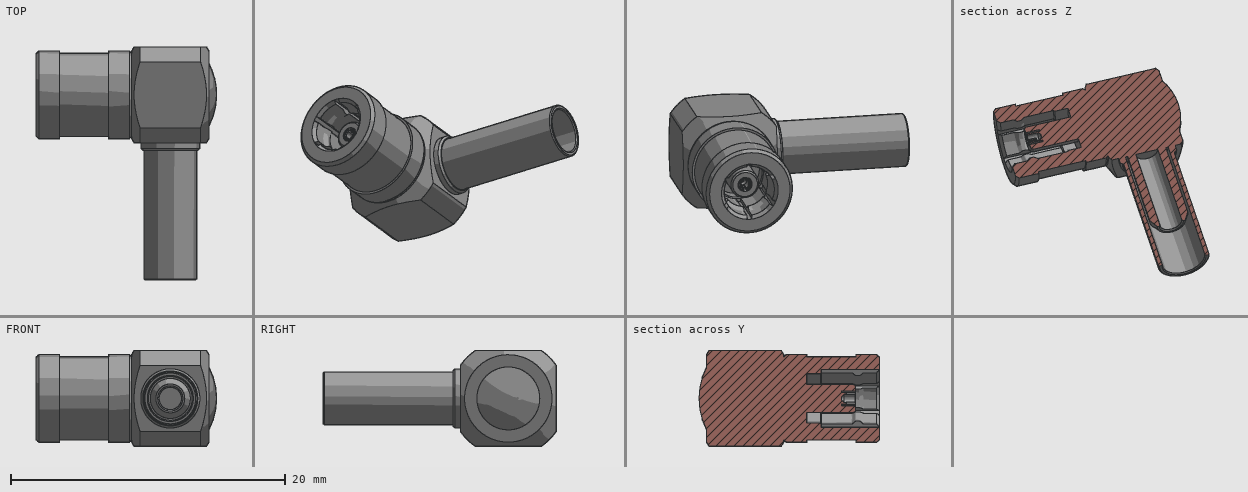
import cadquery as cq
import math


total_length = 13.2
total_reach = 17.0
body_size = 7.0
half_body = body_size / 2

body_start = 6.99
body_end = 12.63
body_length = body_end - body_start
body_center_x = (body_start + body_end) / 2
body_corner_radius = 4.25
end_cone_length = 0.61
end_cone_angle = 30
end_cone_radius = body_corner_radius - end_cone_length / math.tan(math.radians(end_cone_angle))

dome_radius = 2.3
dome_height = total_length - body_end

band_radius = 3.21
waist_radius = 3.05
front_band_end = 1.73
rear_band_start = 5.3
shell_front_chamfer = 0.22
shell_rear_chamfer = 0.17

socket_radius = 2.1
socket_depth = rear_band_start
finger_bore_radius = 1.87
finger_lead_in = socket_radius - finger_bore_radius
ridge_radius = 1.67
ridge_start = 1.19
ridge_end = 2.0
ridge_bevel = 0.25
ridge_fillet = 0.08
finger_slot_count = 6
finger_slot_width = 0.35
finger_slot_length = 4.25
rear_bore_radius = 1.78

insulator_radius = 1.04
insulator_chamfer = 0.12
insulator_front = 1.75
contact_clearance_radius = 0.53
contact_clearance_depth = 1.02
contact_radius = 0.45
contact_hole_radius = 0.29
contact_hole_depth = 0.85
contact_hole_chamfer = 0.07
contact_slot_width = 0.19
contact_slot_depth = 0.68

collar_radius = 2.16
collar_length = 0.55
collar_chamfer = 0.15
tube_radius = 1.94
tube_bore_radius = 1.6
tube_edge_chamfer = 0.08
tube_end = total_reach - half_body

ferrule_radius = 1.46
ferrule_shoulder_radius = 1.41
ferrule_tip_radius = 1.05
ferrule_bore_radius = 0.82
ferrule_bore_chamfer = 0.1
ferrule_taper = 0.61
ferrule_recess = 3.4
ferrule_end = tube_end - ferrule_recess


def turned_x(points):
    """Revolve an (x, radius) outline around the X axis."""
    return cq.Workplane("XY").polyline(points).close().revolve(360, (0, 0), (1, 0))


def turned_tube(points):
    """Revolve a (radius, distance) outline around the crimp tube axis."""
    outline = [(body_center_x + radius, -distance) for radius, distance in points]
    axis_start = (body_center_x, 0)
    axis_end = (body_center_x, -1)
    return cq.Workplane("XY").polyline(outline).close().revolve(360, axis_start, axis_end)


def make_body():
    bar = cq.Workplane("XY").box(body_length, body_size, body_size).translate((body_center_x, 0, 0))
    envelope = turned_x([
        (body_start, 0),
        (body_start, end_cone_radius),
        (body_start + end_cone_length, body_corner_radius),
        (body_end - end_cone_length, body_corner_radius),
        (body_end, end_cone_radius),
        (body_end, 0),
    ])
    return bar.intersect(envelope)


def make_dome():
    sphere_radius = (dome_radius**2 + dome_height**2) / (2 * dome_height)
    sphere_center_x = total_length - sphere_radius
    mid_angle = math.asin(dome_radius / sphere_radius) / 2
    arc_middle = (
        sphere_center_x + sphere_radius * math.cos(mid_angle),
        sphere_radius * math.sin(mid_angle),
    )
    return (
        cq.Workplane("XY")
        .moveTo(body_center_x, 0)
        .lineTo(body_center_x, dome_radius)
        .lineTo(body_end, dome_radius)
        .threePointArc(arc_middle, (total_length, 0))
        .close()
        .revolve(360, (0, 0), (1, 0))
    )


def make_shell():
    return turned_x([
        (0, 0),
        (0, band_radius - shell_front_chamfer),
        (shell_front_chamfer, band_radius),
        (front_band_end, band_radius),
        (front_band_end, waist_radius),
        (rear_band_start, waist_radius),
        (rear_band_start, band_radius),
        (body_start - shell_rear_chamfer, band_radius),
        (body_start, band_radius - shell_rear_chamfer),
        (body_start, 0),
    ])


def make_socket_cut():
    rear_bore_step = finger_bore_radius - rear_bore_radius
    bore = turned_x([
        (0, 0),
        (0, socket_radius),
        (finger_lead_in, finger_bore_radius),
        (ridge_start, finger_bore_radius),
        (ridge_start + ridge_bevel, ridge_radius),
        (ridge_end - ridge_bevel, ridge_radius),
        (ridge_end, finger_bore_radius),
        (finger_slot_length, finger_bore_radius),
        (finger_slot_length + rear_bore_step, rear_bore_radius),
        (socket_depth, rear_bore_radius),
        (socket_depth, 0),
    ])
    margin = ridge_fillet
    zone_start = (ridge_start - margin, -margin, -margin)
    zone_end = (ridge_end + margin, margin, margin)
    ridge_zone = cq.selectors.BoxSelector(zone_start, zone_end)
    bore = bore.edges(ridge_zone).fillet(ridge_fillet)
    slots = cq.Workplane("XY")
    for index in range(finger_slot_count // 2):
        slot = cq.Workplane("XY").box(finger_slot_length, finger_slot_width, 2 * socket_radius)
        slot = slot.translate((finger_slot_length / 2, 0, 0))
        slots = slots.add(slot.rotate((0, 0, 0), (1, 0, 0), index * 360 / finger_slot_count))
    slot_envelope = cq.Workplane("YZ").circle(socket_radius).extrude(finger_slot_length)
    return bore.union(slots.combine().intersect(slot_envelope))


def make_insulator():
    clearance_end = insulator_front + contact_clearance_depth
    return turned_x([
        (insulator_front, contact_clearance_radius),
        (insulator_front, insulator_radius - insulator_chamfer),
        (insulator_front + insulator_chamfer, insulator_radius),
        (body_start, insulator_radius),
        (body_start, 0),
        (clearance_end, 0),
        (clearance_end, contact_clearance_radius),
    ])


def make_contact():
    hole_end = insulator_front + contact_hole_depth
    pin = turned_x([
        (insulator_front, contact_hole_radius + contact_hole_chamfer),
        (insulator_front, contact_radius),
        (body_start, contact_radius),
        (body_start, 0),
        (hole_end + contact_hole_radius, 0),
        (hole_end, contact_hole_radius),
        (insulator_front + contact_hole_chamfer, contact_hole_radius),
    ])
    slot = (
        cq.Workplane("XY")
        .box(contact_slot_depth, contact_slot_width, 2 * contact_radius)
        .translate((insulator_front + contact_slot_depth / 2, 0, 0))
    )
    return pin.cut(slot)


def make_crimp_tube():
    collar_end = half_body + collar_length
    return turned_tube([
        (0, 0),
        (collar_radius, 0),
        (collar_radius, collar_end - collar_chamfer),
        (collar_radius - collar_chamfer, collar_end),
        (tube_radius, collar_end),
        (tube_radius, tube_end - tube_edge_chamfer),
        (tube_radius - tube_edge_chamfer, tube_end),
        (tube_bore_radius + tube_edge_chamfer, tube_end),
        (tube_bore_radius, tube_end - tube_edge_chamfer),
        (tube_bore_radius, half_body),
        (0, half_body),
    ])


def make_ferrule():
    shoulder = ferrule_end - ferrule_taper
    shoulder_chamfer = ferrule_radius - ferrule_shoulder_radius
    return turned_tube([
        (ferrule_bore_radius, half_body),
        (ferrule_radius, half_body),
        (ferrule_radius, shoulder - shoulder_chamfer),
        (ferrule_shoulder_radius, shoulder),
        (ferrule_tip_radius, ferrule_end),
        (ferrule_bore_radius + ferrule_bore_chamfer, ferrule_end),
        (ferrule_bore_radius, ferrule_end - ferrule_bore_chamfer),
    ])


housing = make_body().union(make_dome()).union(make_shell()).cut(make_socket_cut())
socket_core = make_insulator().union(make_contact())
result = housing.union(socket_core).union(make_crimp_tube()).union(make_ferrule())